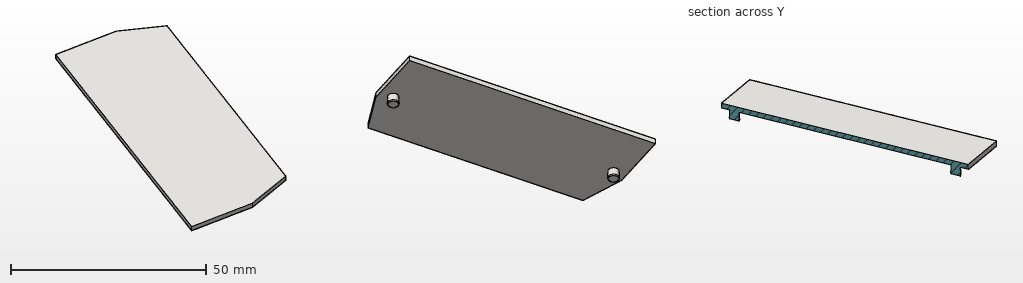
import cadquery as cq

length = 72.0
width = 30.0
total_height = 4.0
plate_thickness = 1.5
corner_inset = 4.5
straight_side = 17.7

pin_length = total_height - plate_thickness
pin_root_diameter = 2.9
pin_tip_diameter = 3.1
tip_chamfer_height = 0.35
tip_chamfer_width = 0.15
pin_end_distance = 3.75
pin_y = 15.3


def make_plate():
    """Flat plate with its two rear corners cut at an angle."""
    half_length = length / 2
    rear_half_length = half_length - corner_inset
    return (
        cq.Workplane("XY")
        .moveTo(-half_length, 0)
        .lineTo(half_length, 0)
        .lineTo(half_length, straight_side)
        .lineTo(rear_half_length, width)
        .lineTo(-rear_half_length, width)
        .lineTo(-half_length, straight_side)
        .close()
        .extrude(plate_thickness)
    )


def make_pin(x):
    """Revolved pin hanging from the underside of the plate."""
    root_radius = pin_root_diameter / 2
    tip_radius = pin_tip_diameter / 2
    profile = (
        cq.Workplane("XZ")
        .moveTo(0, plate_thickness / 2)
        .lineTo(root_radius, plate_thickness / 2)
        .lineTo(root_radius, 0)
        .lineTo(tip_radius, tip_chamfer_height - pin_length)
        .lineTo(tip_radius - tip_chamfer_width, -pin_length)
        .lineTo(0, -pin_length)
        .close()
    )
    return profile.revolve(360, (0, 0), (0, 1)).translate((x, pin_y, 0))


result = make_plate()
for side in (-1, 1):
    result = result.union(make_pin(side * (length / 2 - pin_end_distance)))